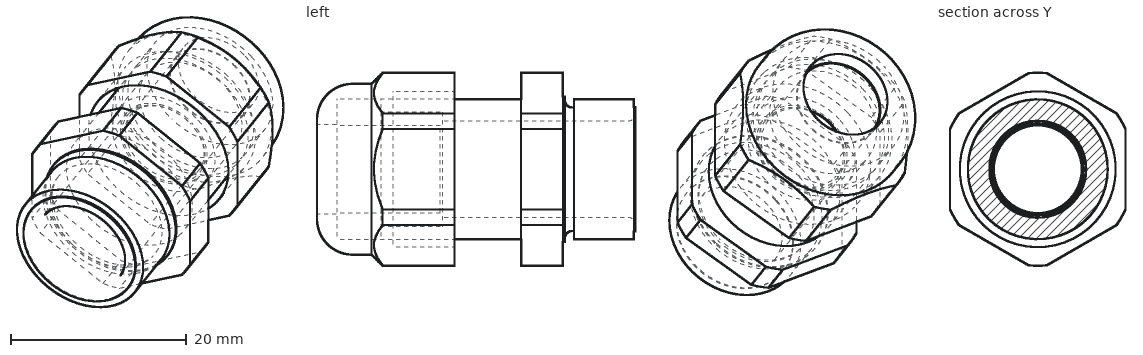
import cadquery as cq
import math


overall_length = 36.3
hex_across_flats = 20.0
hex_corner_diameter = 22.0

thread_radius = 16.0 / 2
end_step_radius = 14.16 / 2
groove_radius = 14.1 / 2
collar_radius = 16.57 / 2
neck_radius = 15.95 / 2
bore_radius = 11.0 / 2
bore_mouth_round = (12.7 - 11.0) / 2

end_step_length = 0.2
thread_end = 7.05
groove_straight_length = 0.2
collar_start = 8.05
body_hex_start = 8.3
body_hex_length = 4.75
body_hex_end = body_hex_start + body_hex_length
groove_round = collar_start - thread_end - groove_straight_length
neck_end = 29.0

nut_start = 20.6
cap_radius = 19.5 / 2
dome_round = 4.1
dome_start = overall_length - dome_round
nut_hex_end = 30.05
nut_recess_radius = 17.75 / 2
nut_recess_depth = 7.0
cap_opening_radius = 10.2 / 2
cap_wall = 2.3
cap_inner_end = overall_length - cap_wall

seal_radius = 13.0 / 2
seal_start = 22.0
seal_bore_radius = 10.0 / 2
seal_mouth_radius = 10.5 / 2


def revolve_about_y(profile):
    """Turn a closed (radius, Y) profile into a solid of revolution about the Y axis."""
    return profile.close().revolve(360, (0, 0, 0), (0, 1, 0))


def cylinder(radius, start, end):
    """Solid cylinder on the Y axis between two stations."""
    return cq.Workplane("XZ", origin=(0, start, 0)).circle(radius).extrude(start - end)


def hexagon(start, end):
    """Hexagonal prism with flats facing +X and -X, its corners rounded to a cylinder."""
    sharp_corner_diameter = hex_across_flats / math.cos(math.radians(30))
    prism = (
        cq.Workplane("XZ", origin=(0, start, 0))
        .transformed(rotate=(0, 0, 90))
        .polygon(6, sharp_corner_diameter)
        .extrude(start - end)
    )
    return prism.intersect(cylinder(hex_corner_diameter / 2, start, end))


def make_gland_body():
    """Threaded entry, undercut groove, collar, hexagon and neck with a stepped bore."""
    arc_inset = 1 - math.sqrt(0.5)
    turned = revolve_about_y(
        cq.Workplane("XY")
        .moveTo(bore_radius + bore_mouth_round, 0)
        .lineTo(end_step_radius, 0)
        .lineTo(end_step_radius, end_step_length)
        .lineTo(thread_radius, end_step_length)
        .lineTo(thread_radius, thread_end)
        .lineTo(groove_radius, thread_end)
        .lineTo(groove_radius, thread_end + groove_straight_length)
        .threePointArc(
            (groove_radius + groove_round * arc_inset, collar_start - groove_round * arc_inset),
            (groove_radius + groove_round, collar_start),
        )
        .lineTo(collar_radius, collar_start)
        .lineTo(collar_radius, body_hex_start)
        .lineTo(neck_radius, body_hex_start)
        .lineTo(neck_radius, neck_end)
        .lineTo(seal_radius, neck_end)
        .lineTo(seal_radius, seal_start)
        .lineTo(bore_radius, seal_start)
        .lineTo(bore_radius, bore_mouth_round)
        .threePointArc(
            (bore_radius + bore_mouth_round * arc_inset, bore_mouth_round * arc_inset),
            (bore_radius + bore_mouth_round, 0),
        )
    )
    hex_flange = hexagon(body_hex_start, body_hex_end).cut(
        cylinder(bore_radius, body_hex_start, body_hex_end)
    )
    return turned.union(hex_flange)


def make_cap_nut():
    """Domed hexagonal cap, bevelled above the hexagon, hollow to take the neck and seal."""
    corner_radius = hex_corner_diameter / 2
    bevel = corner_radius - cap_radius
    bevel_envelope = revolve_about_y(
        cq.Workplane("XY")
        .moveTo(0, nut_start)
        .lineTo(corner_radius, nut_start)
        .lineTo(corner_radius, nut_hex_end - bevel)
        .lineTo(cap_radius, nut_hex_end)
        .lineTo(0, nut_hex_end)
    )
    dome = cylinder(cap_radius, nut_start, overall_length).faces(">Y").edges().fillet(dome_round)
    recess_end = nut_start + nut_recess_depth
    return (
        hexagon(nut_start, nut_hex_end)
        .intersect(bevel_envelope)
        .union(dome)
        .cut(cylinder(nut_recess_radius, nut_start, recess_end))
        .cut(cylinder(neck_radius, recess_end, cap_inner_end))
        .cut(cylinder(cap_opening_radius, cap_inner_end, overall_length))
    )


def make_seal():
    """Sleeve seated in the neck, with a flange between the neck end and the cap."""
    mouth_chamfer = seal_mouth_radius - seal_bore_radius
    return revolve_about_y(
        cq.Workplane("XY")
        .moveTo(seal_mouth_radius, seal_start)
        .lineTo(seal_radius, seal_start)
        .lineTo(seal_radius, neck_end)
        .lineTo(neck_radius, neck_end)
        .lineTo(neck_radius, cap_inner_end)
        .lineTo(seal_bore_radius, cap_inner_end)
        .lineTo(seal_bore_radius, seal_start + mouth_chamfer)
    )


gland_body = make_gland_body()
cap_nut = make_cap_nut()
seal = make_seal()

result = cq.Compound.makeCompound([gland_body.solids().val(), cap_nut.solids().val(), seal.val()])